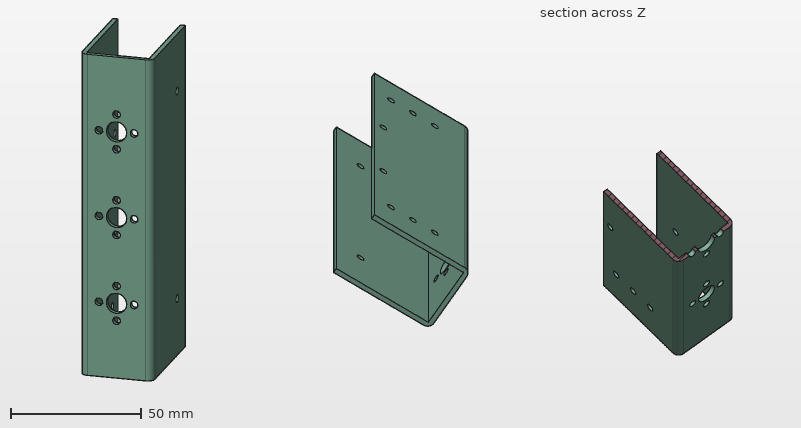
import cadquery as cq

width = 29.0
depth = 44.0
height = 130.0
inside_width = 25.0
bend_radius = 2.9

wall = (width - inside_width) / 2
web_face_y = -depth / 2
open_edge_y = depth / 2
flange_mid_x = (width - wall) / 2

screw_diameter = 3.0
bore_diameter = 8.0
bore_pitch = 34.7
screw_circle_radius = 7.0

row_height = 49.0
row_first_setback = 7.5
row_pitch = 10.0
row_count = 3
edge_hole_height = 20.0
edge_hole_setback = 4.0

far_hole_height = 42.0
far_hole_setback = 11.0


def channel():
    outer = (
        cq.Workplane("XY")
        .box(width, depth, height)
        .edges("|Z and <Y")
        .fillet(bend_radius)
    )
    inner = cq.Workplane("XY").box(inside_width, depth, height).translate((0, wall, 0))
    return outer.cut(inner)


def web_holes(diameter, points):
    """Cylinders along +Y through the web at (x, z) points."""
    plane = cq.Plane(origin=(0, web_face_y - wall, 0), xDir=(1, 0, 0), normal=(0, 1, 0))
    local_points = [(x, -z) for x, z in points]
    return cq.Workplane(plane).pushPoints(local_points).circle(diameter / 2).extrude(3 * wall)


def flange_holes(points, flange_x):
    """Cylinders along X through the flange centred at flange_x, at (y, z) points."""
    start = cq.Workplane("YZ", origin=(flange_x - wall, 0, 0))
    return start.pushPoints(points).circle(screw_diameter / 2).extrude(2 * wall)


bore_points = [(0, step * bore_pitch) for step in (-1, 0, 1)]
screw_points = [
    (x + dx * screw_circle_radius, z + dz * screw_circle_radius)
    for x, z in bore_points
    for dx, dz in ((1, 0), (-1, 0), (0, 1), (0, -1))
]

row_points = [
    (open_edge_y - row_first_setback - column * row_pitch, side * row_height)
    for side in (-1, 1)
    for column in range(row_count)
]
edge_points = [(open_edge_y - edge_hole_setback, side * edge_hole_height) for side in (-1, 1)]
far_points = [(open_edge_y - far_hole_setback, side * far_hole_height) for side in (-1, 1)]

result = channel()
result = result.cut(web_holes(bore_diameter, bore_points))
result = result.cut(web_holes(screw_diameter, screw_points))
result = result.cut(flange_holes(row_points + edge_points, -flange_mid_x))
result = result.cut(flange_holes(far_points, flange_mid_x))